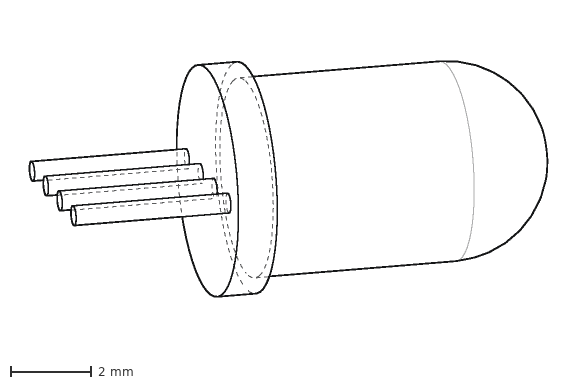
import cadquery as cq

total_length = 12.7
lead_length = 4.0
lead_diameter = 0.5
lead_pitch = 1.3
lead_count = 4
flange_diameter = 5.8
flange_thickness = 1.0
body_diameter = 5.0

flange_radius = flange_diameter / 2
body_radius = body_diameter / 2
dome_tip = total_length - lead_length
dome_base = dome_tip - body_radius
dome_mid_offset = body_radius * 0.5 ** 0.5


def make_lens():
    """Flange, cylindrical body and hemispherical dome revolved about Y."""
    profile = (
        cq.Workplane("XY")
        .lineTo(flange_radius, 0)
        .lineTo(flange_radius, flange_thickness)
        .lineTo(body_radius, flange_thickness)
        .lineTo(body_radius, dome_base)
        .threePointArc((dome_mid_offset, dome_base + dome_mid_offset), (0, dome_tip))
        .close()
    )
    return profile.revolve(360, (0, 0), (0, 1))


def make_leads():
    """A centred row of round leads along X, extending toward -Y."""
    return (
        cq.Workplane("XZ")
        .rarray(lead_pitch, 0.13, lead_count, 1)
        .circle(lead_diameter / 2)
        .extrude(lead_length)
    )


result = make_lens().union(make_leads())